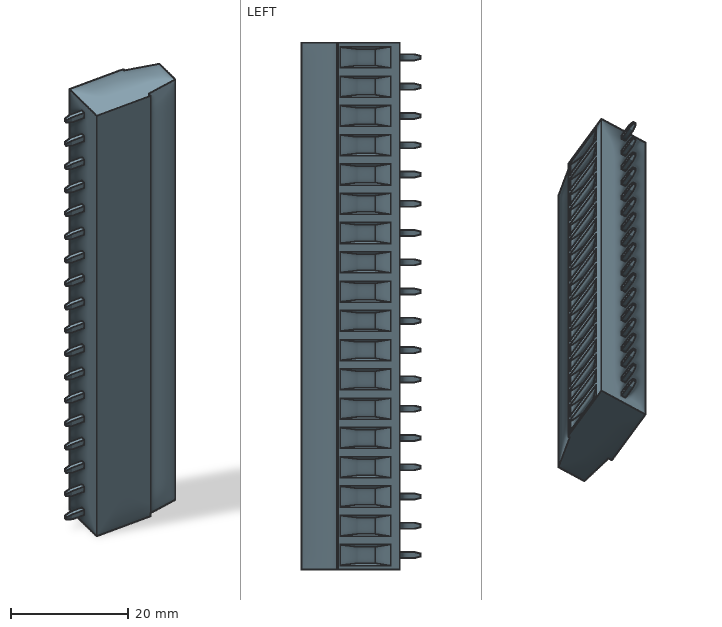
import cadquery as cq
import math

pole_count = 18
length = 90.0
pitch = length / pole_count

width = 8.9
half_width = width / 2
total_depth = 20.3
pin_length = 3.5
back = total_depth / 2
front = -back + pin_length
shoulder = 4.1
back_left = -2.5
shoulder_left = -4.05
back_right = 2.7
shoulder_right = 3.8
lip_depth = 0.3
lip_inset = 0.1

pocket_back = 3.5
pocket_front = -5.0
pocket_height = 3.6
pocket_depth = 1.0
ramp_start_depth = 0.2
floor_back = 0.6
floor_front = -2.4
wall_draft = 22.0

pin_width = 0.8
pin_height = 1.1
tip_length = 1.1
tip_width = 0.5
tip_height = 0.5


def make_housing():
    outline = [
        (-half_width, front),
        (half_width, front),
        (half_width, shoulder),
        (shoulder_right, shoulder),
        (back_right, back),
        (back_left, back),
        (shoulder_left, shoulder),
        (lip_inset - half_width, shoulder),
        (-half_width, shoulder - lip_depth),
    ]
    return cq.Workplane("XY").polyline(outline).close().extrude(length / 2, both=True)


def make_pocket():
    """Cutter centred on Z = 0: a drafted prism limited by the flat floor and its two ramps."""
    mouth = -half_width
    floor = (
        cq.Workplane("XY")
        .moveTo(mouth, pocket_back)
        .lineTo(mouth + ramp_start_depth, pocket_back)
        .lineTo(mouth + pocket_depth, floor_back)
        .lineTo(mouth + pocket_depth, floor_front)
        .lineTo(mouth, pocket_front)
        .close()
        .extrude(pocket_height, both=True)
    )
    narrowing = pocket_depth * math.tan(math.radians(wall_draft))
    half_mouth = pocket_height / 2
    half_bottom = half_mouth - narrowing
    walls = (
        cq.Workplane("XZ", origin=(0, pocket_front, 0))
        .polyline([
            (mouth, -half_mouth),
            (mouth + pocket_depth, -half_bottom),
            (mouth + pocket_depth, half_bottom),
            (mouth, half_mouth),
        ])
        .close()
        .extrude(pocket_front - pocket_back)
    )
    return floor.intersect(walls)


def make_pin():
    """Pin centred on Z = 0, a rectangular shank with a tapered tip pointing to -Y."""
    shank = (
        cq.Workplane("XZ", origin=(0, front, 0))
        .rect(pin_width, pin_height)
        .extrude(pin_length - tip_length)
    )
    tip = (
        shank.faces("<Y").workplane()
        .rect(pin_width, pin_height)
        .workplane(offset=tip_length)
        .rect(tip_width, tip_height)
        .loft(combine=False)
    )
    return shank.union(tip)


pole_heights = [(pole + 0.5) * pitch - length / 2 for pole in range(pole_count)]

result = make_housing()
pocket = make_pocket()
pin = make_pin()
for height in pole_heights:
    result = result.cut(pocket.translate((0, 0, height)))
    result = result.union(pin.translate((0, 0, height)))